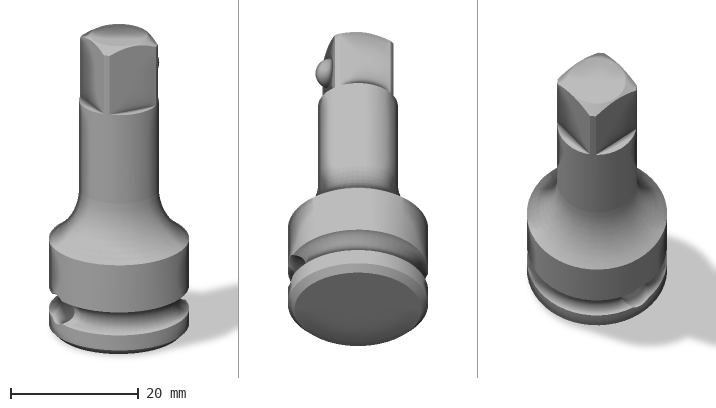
import cadquery as cq
import math

total_height = 50.0
body_top = 15.5
neck_top = 39.0

body_radius = 11.0
neck_radius = 6.25
bottom_chamfer = 1.05

flare_radius = 10.0
flare_center_radius = neck_radius + flare_radius
flare_height = math.sqrt(flare_radius**2 - (flare_center_radius - body_radius) ** 2)
neck_bottom = body_top + flare_height

groove_height = 5.55
groove_radius = 2.0
groove_center_radius = 11.45
cross_hole_diameter = 5.0

drive_width = 9.5
tip_radius = 4.5
tip_angle = math.radians(30)
tip_height = (neck_radius - tip_radius) * math.tan(tip_angle)

ball_radius = 2.35
ball_protrusion = 2.05
ball_height = 44.5
ball_center_y = drive_width / 2 + ball_protrusion - ball_radius


def make_turned_body():
    """Socket body, flare and round neck."""
    flare_mid_angle = math.asin(flare_height / flare_radius) / 2
    flare_mid = (
        flare_center_radius - flare_radius * math.cos(flare_mid_angle),
        neck_bottom - flare_radius * math.sin(flare_mid_angle),
    )
    return (
        cq.Workplane("XZ")
        .moveTo(0, 0)
        .lineTo(body_radius - bottom_chamfer, 0)
        .lineTo(body_radius, bottom_chamfer)
        .lineTo(body_radius, body_top)
        .threePointArc(flare_mid, (neck_radius, neck_bottom))
        .lineTo(neck_radius, neck_top)
        .lineTo(0, neck_top)
        .close()
        .revolve(360, (0, 0, 0), (0, 1, 0))
    )


def make_drive():
    """Square drive whose corners and tip are trimmed by a turned envelope."""
    square = (
        cq.Workplane("XY", origin=(0, 0, neck_top))
        .rect(drive_width, drive_width)
        .extrude(total_height - neck_top)
    )
    envelope = (
        cq.Workplane("XZ")
        .moveTo(0, neck_top)
        .lineTo(neck_radius, neck_top)
        .lineTo(neck_radius, total_height - tip_height)
        .lineTo(tip_radius, total_height)
        .lineTo(0, total_height)
        .close()
        .revolve(360, (0, 0, 0), (0, 1, 0))
    )
    return square.intersect(envelope)


def make_groove():
    """Ring that cuts the round groove."""
    return (
        cq.Workplane("XZ")
        .center(groove_center_radius, groove_height)
        .circle(groove_radius)
        .revolve(360, (-groove_center_radius, 0, 0), (-groove_center_radius, 1, 0))
    )


def make_cross_hole():
    """Cylinder along Y that passes through the whole body."""
    return (
        cq.Workplane("XZ", origin=(0, 0, groove_height))
        .circle(cross_hole_diameter / 2)
        .extrude(body_radius + groove_radius, both=True)
    )


def make_ball():
    """Detent ball, partly sunk in the drive."""
    return cq.Workplane("XY").sphere(ball_radius).translate((0, ball_center_y, ball_height))


def make_extension(ball):
    """Complete extension with a recess that matches the ball."""
    extension = make_turned_body().union(make_drive())
    return extension.cut(make_groove()).cut(make_cross_hole()).cut(ball)


detent_ball = make_ball()
extension = make_extension(detent_ball)

result = cq.Compound.makeCompound([extension.solids().val(), detent_ball.val()])